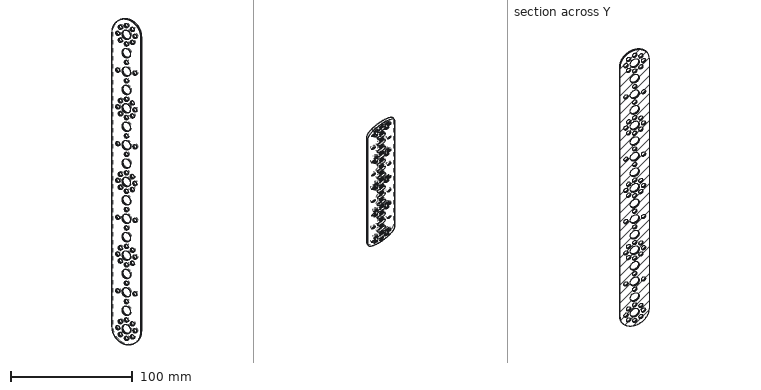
import cadquery as cq
import math

width = 27.0
thickness = 2.0
hub_spacing = 64.0
hub_count = 5
hub_span = hub_spacing * (hub_count - 1)
length = hub_span + width

large_hole_diameter = 8.0
small_hole_diameter = 3.7
pattern_radius = 8.0
large_pitch = hub_spacing / 4
large_count = int(hub_span / large_pitch) + 1
hub_ring_count = 8


def centred_row(count, pitch):
    """Evenly spaced Z positions, centred on the middle of the plate."""
    return [(i - (count - 1) / 2) * pitch for i in range(count)]


def drill(points, diameter):
    """Cutting cylinders through the full thickness at (x, z) points."""
    return cq.Workplane("XZ").pushPoints(points).circle(diameter / 2).extrude(thickness / 2, both=True)


def hub_ring(z):
    """Ring of small hole centres around the hub at height z."""
    step = 2 * math.pi / hub_ring_count
    return [
        (pattern_radius * math.cos(i * step), z + pattern_radius * math.sin(i * step))
        for i in range(hub_ring_count)
    ]


plate = cq.Workplane("XZ").slot2D(length, width, 90).extrude(thickness / 2, both=True)

large_points = [(0, z) for z in centred_row(large_count, large_pitch)]

ring_points = [point for z in centred_row(hub_count, hub_spacing) for point in hub_ring(z)]

between_points = [
    (0, z + side * large_pitch / 2)
    for z in centred_row(hub_count - 1, hub_spacing)
    for side in (-1, 1)
]

side_points = [
    (side * pattern_radius, z)
    for z in centred_row(hub_count - 1, hub_spacing)
    for side in (-1, 1)
]

result = (
    plate
    .cut(drill(large_points, large_hole_diameter))
    .cut(drill(ring_points + between_points + side_points, small_hole_diameter))
)